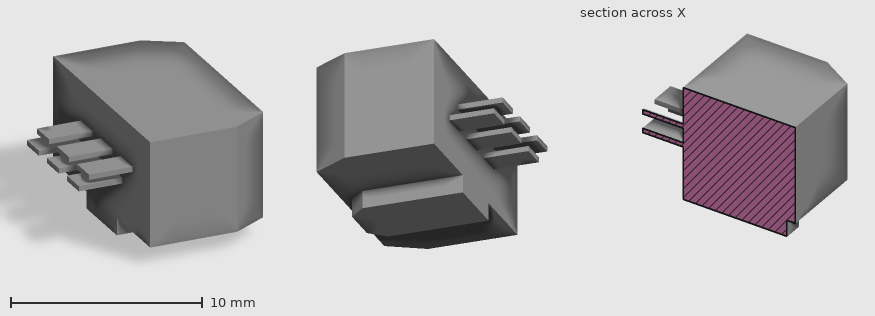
import cadquery as cq

width = 12.25
depth = 7.0
height = 6.0
corner_depth = 2.0
corner_width = 1.15

key_width = 3.8
key_depth = 6.49
key_height = 0.99
key_corner_depth = 0.9
key_corner_width = 0.8

pin_width = 1.51
pin_thickness = 0.3
pin_length = 2.51
pin_pitch = 2.54
pins_per_row = 3
row_stagger = pin_pitch / 2
row_spacing = 1.16


def block_with_cut_corners(block_width, block_depth, block_height, cut_width, cut_depth):
    """Block from the front face (y = 0) with both rear vertical corners cut off."""
    half_width = block_width / 2
    half_rear = half_width - cut_width
    shoulder = block_depth - cut_depth
    return (
        cq.Workplane("XY")
        .polyline([
            (-half_width, 0),
            (half_width, 0),
            (half_width, shoulder),
            (half_rear, block_depth),
            (-half_rear, block_depth),
            (-half_width, shoulder),
        ])
        .close()
        .extrude(block_height)
    )


def pin_row(center_x, center_z):
    """One row of pins projecting forward from the front face."""
    return (
        cq.Workplane("XZ")
        .center(center_x, center_z)
        .rarray(pin_pitch, 0.12, pins_per_row, 1)
        .rect(pin_width, pin_thickness)
        .extrude(pin_length)
    )


housing = block_with_cut_corners(width, depth, height, corner_width, corner_depth)
key = block_with_cut_corners(key_width, key_depth, key_height, key_corner_width, key_corner_depth)
result = housing.union(key.translate((0, 0, -key_height)))

for side in (1, -1):
    row = pin_row(side * row_stagger / 2, height / 2 + side * row_spacing / 2)
    result = result.union(row)